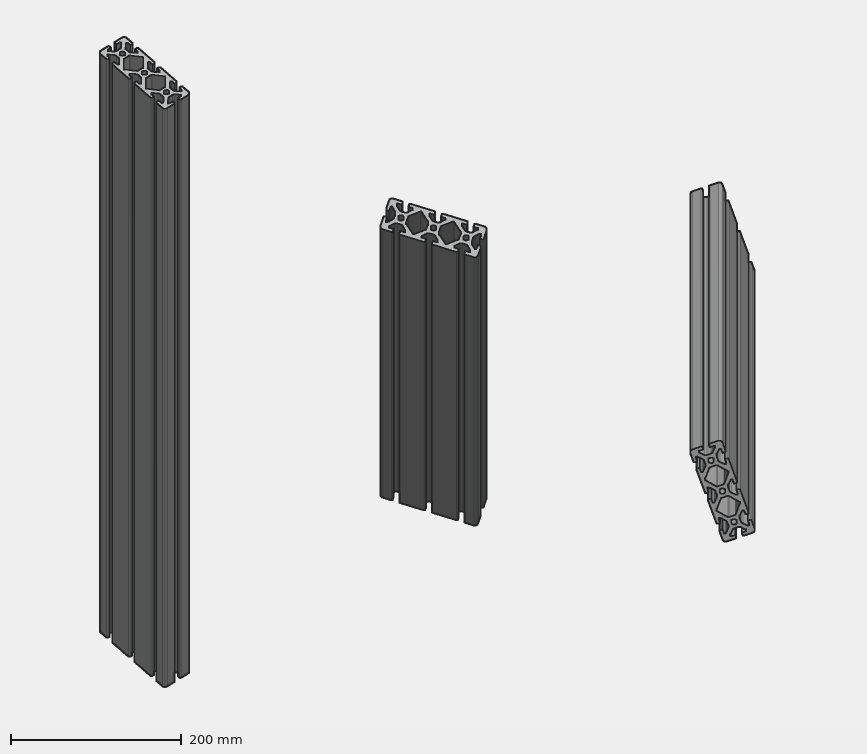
import cadquery as cq
import math

module = 40.0
module_count = 3
width = module * module_count
length = 1000.0
corner_radius = 4.0

slot_opening = 8.0
slot_inner_width = 20.0
slot_floor_width = 4.6
slot_floor_height = 7.8
lip_thickness = 4.3
lip_radius = 1.4
floor_fillet_radius = 4.0
undercut_fillet_radius = 1.0
flank_angle = math.radians(45)

core_diameter = 6.8

cavity_width = 25.0
cavity_depth = 30.0
cavity_side_length = 9.0
cavity_fillet_radius = 1.0

half_module = module / 2
module_centres = [(i - (module_count - 1) / 2) * module for i in range(module_count)]
cavity_centres = [x + half_module for x in module_centres[:-1]]


def bar():
    """Rectangular bar with rounded long corners."""
    return cq.Workplane("XY").rect(width, module).extrude(length).edges("|Z").fillet(corner_radius)


def t_slot(x, angle):
    """Cutter for one T-slot of the module centred at x, turned from the +Y face by angle."""
    half_opening = slot_opening / 2
    half_inner = slot_inner_width / 2
    half_floor = slot_floor_width / 2
    ceiling = half_module - lip_thickness
    flank_x = half_floor + floor_fillet_radius * math.sin(flank_angle)
    flank_y = slot_floor_height + floor_fillet_radius * (1 - math.cos(flank_angle))
    flank_top = flank_y + (half_inner - flank_x) * math.tan(flank_angle)
    lip_start = half_module - lip_radius
    lip_end = half_opening + lip_radius
    right_side = [
        (flank_x, flank_y),
        (half_inner, flank_top),
        (half_inner, ceiling),
        (half_opening, ceiling),
        (half_opening, lip_start),
    ]
    left_side = [(-px, py) for px, py in reversed(right_side)]
    return (
        cq.Workplane("XY")
        .polyline(right_side)
        .radiusArc((lip_end, half_module), lip_radius)
        .lineTo(-lip_end, half_module)
        .radiusArc(left_side[0], lip_radius)
        .polyline(left_side[1:], includeCurrent=True)
        .radiusArc((-half_floor, slot_floor_height), -floor_fillet_radius)
        .lineTo(half_floor, slot_floor_height)
        .radiusArc(right_side[0], -floor_fillet_radius)
        .close()
        .extrude(length)
        .edges("|Z")
        .edges("<X or >X")
        .fillet(undercut_fillet_radius)
        .rotate((0, 0, 0), (0, 0, 1), angle)
        .translate((x, 0, 0))
    )


def core_bores():
    """Cutter for the round core bore of every module."""
    points = [(x, 0) for x in module_centres]
    return cq.Workplane("XY").pushPoints(points).circle(core_diameter / 2).extrude(length)


def cavity(x):
    """Cutter for the six-sided hollow centred at x, pointed towards +Y and -Y."""
    half_width = cavity_width / 2
    half_side = cavity_side_length / 2
    tip = cavity_depth / 2
    upper = [(half_width, half_side), (0, tip), (-half_width, half_side)]
    lower = [(-px, -py) for px, py in upper]
    return (
        cq.Workplane("XY")
        .center(x, 0)
        .polyline(upper + lower)
        .close()
        .extrude(length)
        .edges("|Z")
        .fillet(cavity_fillet_radius)
    )


result = bar()
for centre in module_centres:
    result = result.cut(t_slot(centre, 0)).cut(t_slot(centre, 180))
result = result.cut(t_slot(module_centres[0], 90)).cut(t_slot(module_centres[-1], -90))
result = result.cut(core_bores())
for centre in cavity_centres:
    result = result.cut(cavity(centre))